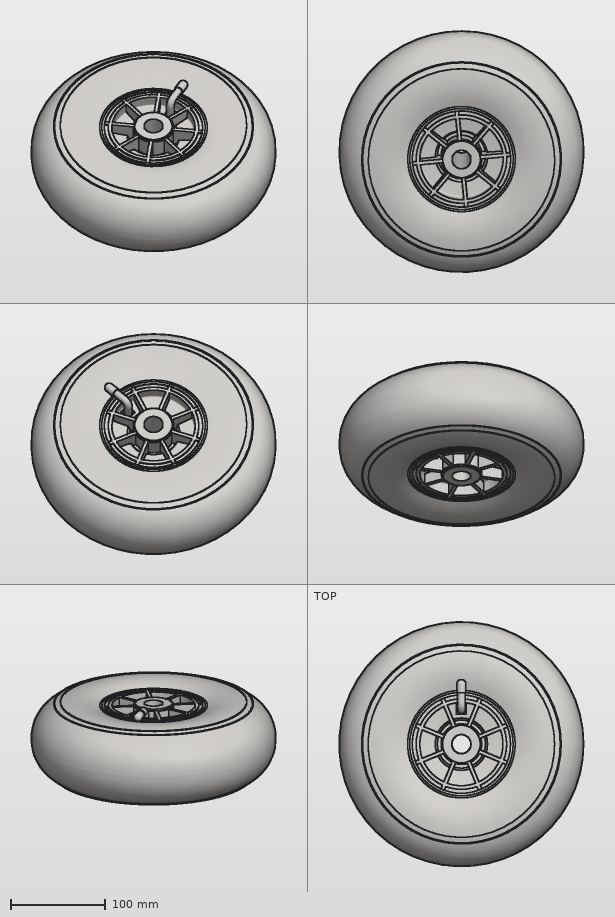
import cadquery as cq
import math


tyre_radius = 130.0
shoulder_radius = 121.7
shoulder_height = 25.7
tread_edge_radius = 105.0
tread_edge_height = 38.5
lip_radius = 106.0
lip_height = 39.3
band_inner_radius = 99.0
band_inner_height = 41.3
sidewall_step = 0.8
crest_radius = 84.0
crest_height = 42.0
seat_radius = 57.2
seat_height = 37.2

border_inner_radius = 52.3
border_outer_radius = 55.0
border_height = 37.2
edge_groove_depth = 0.8

face_height = 37.5
recess_inner_radius = 48.0
recess_depth = 1.3

pocket_radius = 44.2
pocket_fillet = 1.8
floor_height = 25.0
ledge_outer_radius = 29.5
ledge_inner_radius = 27.8
ledge_height = 23.5
trough_radius = 25.5
trough_height = 17.0

hub_radius = 21.5
boss_radius = 20.0
boss_height = 39.5
bore_radius = 10.0

spoke_count = 8
spoke_width = 4.0

stem_radius = 4.2
stem_y = 36.5
bend_radius = 7.8
cap_radius = 4.8
cap_start_y = 54.3
cap_tip_y = 68.6
valve_top = 49.1
valve_axis_height = valve_top - cap_radius

window_size = 10.7
window_y = 37.0
window_bottom = 17.0


def revolve_about_z(outline):
    """Close an XZ outline and turn it about the axle."""
    return outline.close().revolve(360, (0, 0, 0), (0, 1, 0))


def with_mirror_image(upper_half):
    """Join an upper half to its mirror image below the mid-plane."""
    return upper_half.union(upper_half.mirror("XY"))


def make_tyre():
    sidewall_edge_height = band_inner_height - sidewall_step
    outline = (
        cq.Workplane("XZ")
        .moveTo(seat_radius, 0)
        .lineTo(tyre_radius, 0)
        .threePointArc((shoulder_radius, shoulder_height), (tread_edge_radius, tread_edge_height))
        .lineTo(lip_radius, tread_edge_height)
        .lineTo(lip_radius, lip_height)
        .lineTo(band_inner_radius, band_inner_height)
        .lineTo(band_inner_radius, sidewall_edge_height)
        .threePointArc((crest_radius, crest_height), (seat_radius, seat_height))
    )
    return with_mirror_image(revolve_about_z(outline))


def make_rim_disc():
    """Upper half of the rim without spokes: border, ring-shaped pocket and hub."""
    groove_middle = (border_outer_radius + seat_radius) / 2
    groove_bottom = seat_height - edge_groove_depth
    outline = (
        cq.Workplane("XZ")
        .moveTo(bore_radius, 0)
        .lineTo(seat_radius, 0)
        .lineTo(seat_radius, seat_height)
        .threePointArc((groove_middle, groove_bottom), (border_outer_radius, border_height))
        .lineTo(border_inner_radius, border_height)
        .lineTo(border_inner_radius, face_height)
        .lineTo(pocket_radius, face_height)
        .lineTo(pocket_radius, floor_height + pocket_fillet)
        .radiusArc((pocket_radius - pocket_fillet, floor_height), pocket_fillet)
        .lineTo(ledge_outer_radius, ledge_height)
        .lineTo(ledge_inner_radius, ledge_height)
        .lineTo(trough_radius, trough_height)
        .lineTo(hub_radius, trough_height)
        .lineTo(hub_radius, face_height)
        .lineTo(boss_radius, face_height)
        .lineTo(boss_radius, boss_height)
        .lineTo(bore_radius, boss_height)
    )
    return revolve_about_z(outline)


def make_face_recess():
    """Ring cut into the spoke face; the spokes divide it afterwards."""
    return (
        cq.Workplane("XY", origin=(0, 0, face_height - recess_depth))
        .circle(border_inner_radius)
        .circle(recess_inner_radius)
        .extrude(recess_depth)
    )


def make_spoke(angle):
    """Radial web from the hub to the border ring."""
    length = border_inner_radius - boss_radius
    return (
        cq.Workplane("XY", origin=(0, 0, trough_height))
        .center(boss_radius + length / 2, 0)
        .rect(length, spoke_width)
        .extrude(face_height - trough_height)
        .rotate((0, 0, 0), (0, 0, 1), angle)
    )


def make_valve_window():
    return (
        cq.Workplane("XY", origin=(0, window_y, window_bottom))
        .rect(window_size, window_size)
        .extrude(floor_height + pocket_fillet - window_bottom)
    )


def make_rim():
    upper_half = make_rim_disc().cut(make_face_recess())
    spoke_pitch = 360 / spoke_count
    for index in range(spoke_count):
        upper_half = upper_half.union(make_spoke((index + 0.5) * spoke_pitch))
    return with_mirror_image(upper_half).cut(make_valve_window())


def make_stem():
    """Round stem that stands on the bottom of the window and ends at the cap."""
    path = (
        cq.Workplane("YZ")
        .moveTo(stem_y, window_bottom)
        .lineTo(stem_y, valve_axis_height - bend_radius)
        .radiusArc((stem_y + bend_radius, valve_axis_height), bend_radius)
        .lineTo(cap_start_y, valve_axis_height)
    )
    return cq.Workplane("XY", origin=(0, stem_y, window_bottom)).circle(stem_radius).sweep(path)


def make_cap():
    """Cylinder along Y with a hemispherical tip."""
    dome_start_y = cap_tip_y - cap_radius
    dome_offset = cap_radius * math.sqrt(0.5)
    return (
        cq.Workplane("XY", origin=(0, 0, valve_axis_height))
        .moveTo(0, cap_start_y)
        .lineTo(cap_radius, cap_start_y)
        .lineTo(cap_radius, dome_start_y)
        .threePointArc((dome_offset, dome_start_y + dome_offset), (0, cap_tip_y))
        .close()
        .revolve(360, (0, 0, 0), (0, 1, 0))
    )


tyre = make_tyre()
rim = make_rim()
stem = make_stem()
cap = make_cap()

result = cq.Compound.makeCompound([tyre.val(), rim.val(), stem.val(), cap.val()])